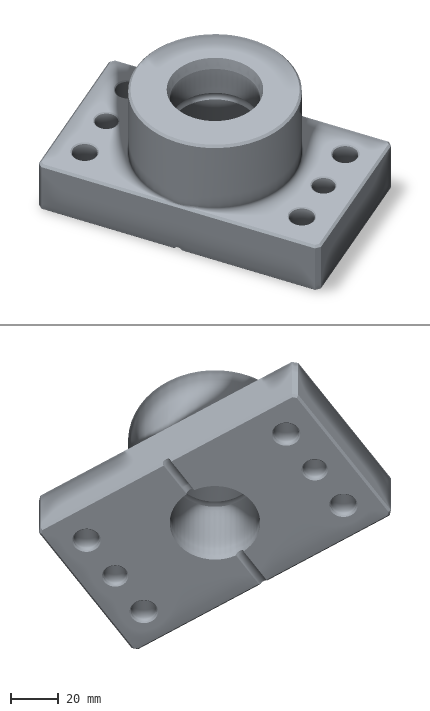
import cadquery as cq

plate_length = 130.0
plate_width = 75.0
plate_height = 25.0
corner_chamfer = 2.0
edge_chamfer = 1.0

overall_height = 60.0
boss_edge_gap = 0.03
boss_radius = plate_width / 2 - edge_chamfer - boss_edge_gap
boss_chamfer = edge_chamfer
root_fillet = edge_chamfer

bore_radius = 19.0
mouth_radius = 20.3
mouth_depth = 5.1
groove_radius = 1.8
groove_depth = 20.2

row_spacing = 100.1
screw_pitch = 44.0
screw_hole_diameter = 10.9
screw_rim_diameter = 12.0
pin_hole_diameter = 10.0
pin_rim_diameter = 11.0

channel_radius = 2.0


def make_plate():
    block = cq.Workplane("XY").box(plate_length, plate_width, plate_height, centered=(True, True, False))
    block = block.edges("|Z").chamfer(corner_chamfer)
    return block.faces(">Z or <Z").chamfer(edge_chamfer)


def make_boss():
    boss = cq.Workplane("XY").circle(boss_radius).extrude(overall_height)
    return boss.faces(">Z").chamfer(boss_chamfer)


def make_bore():
    """Through bore with its tapered mouth and the ring-shaped grease groove."""
    bore = cq.Workplane("XY").circle(bore_radius).extrude(overall_height)
    mouth_base = cq.Vector(0, 0, overall_height - mouth_depth)
    mouth = cq.Solid.makeCone(bore_radius, mouth_radius, mouth_depth, mouth_base)
    groove_center = cq.Vector(0, 0, overall_height - groove_depth)
    groove = cq.Solid.makeTorus(bore_radius, groove_radius, groove_center)
    return bore.union(cq.Workplane(mouth)).union(cq.Workplane(groove))


def make_hole(x, y, hole_diameter, rim_diameter):
    """Through hole countersunk at 45 degrees on both ends."""
    hole_radius = hole_diameter / 2
    rim_radius = rim_diameter / 2
    rim_depth = rim_radius - hole_radius
    profile = [
        (0, 0),
        (rim_radius, 0),
        (hole_radius, rim_depth),
        (hole_radius, plate_height - rim_depth),
        (rim_radius, plate_height),
        (0, plate_height),
    ]
    hole = cq.Workplane("XZ").polyline(profile).close().revolve(360, (0, 0, 0), (0, 1, 0))
    return hole.translate((x, y, 0))


def make_channel():
    return cq.Workplane("XZ").circle(channel_radius).extrude(plate_width / 2, both=True)


def make_body():
    """Plate and boss joined, with the corner at the foot of the boss rounded."""
    body = make_plate().union(make_boss())
    foot_edge = cq.selectors.NearestToPointSelector((0, 0, plate_height))
    return body.edges(foot_edge).fillet(root_fillet)


result = make_body().cut(make_bore()).cut(make_channel())
for x in (-row_spacing / 2, row_spacing / 2):
    result = result.cut(make_hole(x, 0, pin_hole_diameter, pin_rim_diameter))
    for y in (-screw_pitch / 2, screw_pitch / 2):
        result = result.cut(make_hole(x, y, screw_hole_diameter, screw_rim_diameter))